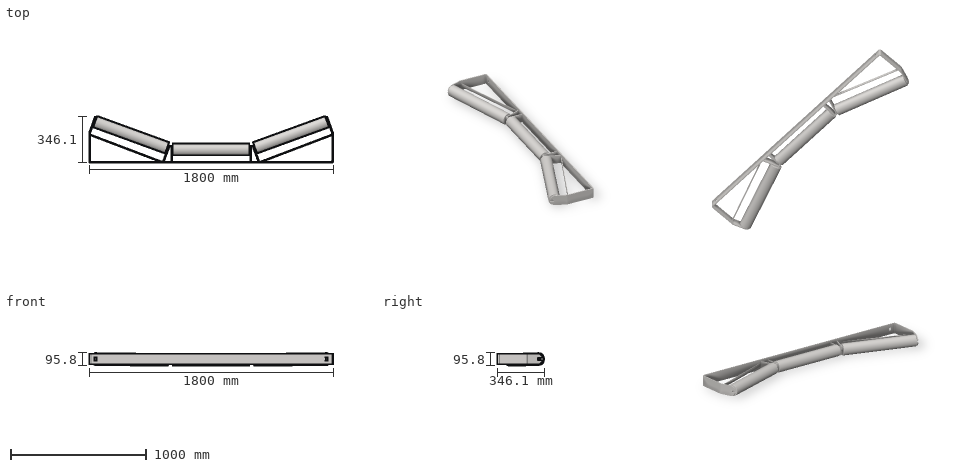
import cadquery as cq
import math


FRAME_LENGTH = 1800.0
BAR_WIDTH = 80.0
BAR_THICKNESS = 8.0
BEND_RADIUS = 14.0
TROUGH_ANGLE = 20.0
LEAN_BEND_Y = 218.0
LEAN_LENGTH = 126.0

MOUNT_X = 852.0
MOUNT_WIDTH = 16.0
MOUNT_LENGTH = 27.0

ROLLER_DIAMETER = 89.0
ROLLER_LENGTH = 566.0
ROLLER_EDGE = 2.0
ROLLER_GAP = 5.0
SHAFT_DIAMETER = 16.0
SLOT_WIDTH = 16.4
CENTER_ROLLER_Y = 100.0
WING_SHAFT_ALONG = 92.05
WING_RISE_ANGLE = 0.685

BRACKET_THICKNESS = 7.0
BRACKET_TOP_Y = 128.0

STRUT_THICKNESS = 5.0
STRUT_WIDTH = 25.0
STRUT_TOP_Y = 210.0
STRUT_FOOT_X = -360.0

SIN = math.sin(math.radians(TROUGH_ANGLE))
COS = math.cos(math.radians(TROUGH_ANGLE))
END_X = -FRAME_LENGTH / 2
MID_Z = BAR_WIDTH / 2
SPAN = ROLLER_LENGTH + 2 * ROLLER_GAP
INWARD = cq.Vector(COS, -SIN, 0)
LEAN = cq.Vector(SIN, COS, 0)
LEAN_START = cq.Vector(END_X + BEND_RADIUS * (1 - COS), LEAN_BEND_Y + BEND_RADIUS * SIN, 0)
OUTER_SLOT = LEAN_START + LEAN * WING_SHAFT_ALONG
WING_OUTER = OUTER_SLOT + INWARD * BAR_THICKNESS
WING_INNER = WING_OUTER + INWARD * SPAN
INNER_Z = MID_Z - SPAN * math.sin(math.radians(WING_RISE_ANGLE))
BRACKET_WIDTH = 2 * INNER_Z


def mirrored(body):
    return body.mirror("YZ")


def face_plane(point, z, along, normal):
    return cq.Plane(origin=(point.x, point.y, z), xDir=along.toTuple(), normal=normal.toTuple())


def open_slot(plane, depth):
    """Round-bottomed shaft slot that runs out along the plane's x direction."""
    channel = cq.Workplane(plane).rect(BAR_WIDTH, SLOT_WIDTH, centered=(False, True)).extrude(depth)
    bottom = cq.Workplane(plane).circle(SLOT_WIDTH / 2).extrude(depth)
    return channel.union(bottom)


def trough_block(offset):
    """Block with two rounded base corners, set in from the frame's outside by an offset."""
    return (
        cq.Workplane("XY")
        .center(0, offset)
        .rect(FRAME_LENGTH - 2 * offset, LEAN_BEND_Y - offset, centered=(True, False))
        .extrude(BAR_WIDTH)
        .edges("|Z and <Y")
        .fillet(BEND_RADIUS - offset)
    )


def bend_point(radius, angle):
    turn = math.radians(angle)
    center_x = END_X + BEND_RADIUS
    return (center_x - radius * math.cos(turn), LEAN_BEND_Y + radius * math.sin(turn))


def make_leaning_end():
    inner_radius = BEND_RADIUS - BAR_THICKNESS
    half_angle = TROUGH_ANGLE / 2
    tip = LEAN_START + LEAN * LEAN_LENGTH
    tip_inner = tip + INWARD * BAR_THICKNESS
    end = (
        cq.Workplane("XY")
        .moveTo(END_X, LEAN_BEND_Y)
        .threePointArc(bend_point(BEND_RADIUS, half_angle), bend_point(BEND_RADIUS, TROUGH_ANGLE))
        .lineTo(tip.x, tip.y)
        .lineTo(tip_inner.x, tip_inner.y)
        .lineTo(*bend_point(inner_radius, TROUGH_ANGLE))
        .threePointArc(bend_point(inner_radius, half_angle), bend_point(inner_radius, 0))
        .close()
        .extrude(BAR_WIDTH)
    )
    tip_radius = BAR_WIDTH / 2
    tip_plane = face_plane(tip - LEAN * tip_radius, MID_Z, LEAN, INWARD)
    tip_square = (
        cq.Workplane(tip_plane)
        .rect(tip_radius, BAR_WIDTH, centered=(False, True))
        .extrude(BAR_THICKNESS)
    )
    tip_disc = cq.Workplane(tip_plane).circle(tip_radius).extrude(BAR_THICKNESS)
    slot = open_slot(face_plane(OUTER_SLOT, MID_Z, LEAN, INWARD), BAR_THICKNESS)
    return end.cut(tip_square.cut(tip_disc)).cut(slot)


def make_frame():
    base = trough_block(0).cut(trough_block(BAR_THICKNESS))
    end = make_leaning_end()
    mount_holes = (
        cq.Workplane("XZ")
        .pushPoints([(-MOUNT_X, MID_Z), (MOUNT_X, MID_Z)])
        .slot2D(MOUNT_LENGTH, MOUNT_WIDTH, 90)
        .extrude(-BAR_THICKNESS)
    )
    return base.union(end).union(mirrored(end)).cut(mount_holes)


def cylinder_along_x(diameter, start, end):
    return cq.Workplane("YZ").workplane(offset=start).circle(diameter / 2).extrude(end - start)


def make_roller(left_support, right_support):
    """Roller along X, centered on the origin; each shaft end fills the thickness of its support."""
    tube = cylinder_along_x(ROLLER_DIAMETER, -ROLLER_LENGTH / 2, ROLLER_LENGTH / 2)
    tube = tube.edges("%CIRCLE").fillet(ROLLER_EDGE)
    shaft = cylinder_along_x(SHAFT_DIAMETER, -SPAN / 2 - left_support, SPAN / 2 + right_support)
    return tube.union(shaft)


def make_center_roller():
    roller = make_roller(BRACKET_THICKNESS, BRACKET_THICKNESS)
    return roller.translate((0, CENTER_ROLLER_Y, INNER_Z))


def make_wing_roller():
    middle = (WING_OUTER + WING_INNER) * 0.5
    return (
        make_roller(BAR_THICKNESS, BRACKET_THICKNESS)
        .rotate((0, 0, 0), (0, 1, 0), WING_RISE_ANGLE)
        .rotate((0, 0, 0), (0, 0, 1), -TROUGH_ANGLE)
        .translate((middle.x, middle.y, (MID_Z + INNER_Z) / 2))
    )


def make_bracket():
    """Two legs joined at the top: one leans against the wing roller, one faces the center roller."""
    leg_x = -SPAN / 2
    web_bottom_y = BRACKET_TOP_Y - BRACKET_THICKNESS
    lean_width = BRACKET_THICKNESS / COS

    def lean_x(y):
        return WING_INNER.x + (y - WING_INNER.y) * SIN / COS

    bracket = (
        cq.Workplane("XY")
        .moveTo(lean_x(BAR_THICKNESS), BAR_THICKNESS)
        .lineTo(lean_x(BRACKET_TOP_Y), BRACKET_TOP_Y)
        .lineTo(leg_x, BRACKET_TOP_Y)
        .lineTo(leg_x, BAR_THICKNESS)
        .lineTo(leg_x - BRACKET_THICKNESS, BAR_THICKNESS)
        .lineTo(leg_x - BRACKET_THICKNESS, web_bottom_y)
        .lineTo(lean_x(web_bottom_y) + lean_width, web_bottom_y)
        .lineTo(lean_x(BAR_THICKNESS) + lean_width, BAR_THICKNESS)
        .close()
        .extrude(BRACKET_WIDTH)
    )
    wing_slot = open_slot(face_plane(WING_INNER, INNER_Z, LEAN, INWARD), BRACKET_THICKNESS)
    center_shaft = cq.Vector(leg_x, CENTER_ROLLER_Y, 0)
    center_plane = face_plane(center_shaft, INNER_Z, cq.Vector(0, 1, 0), cq.Vector(-1, 0, 0))
    return bracket.cut(wing_slot).cut(open_slot(center_plane, BRACKET_THICKNESS))


def make_strut():
    wall_x = END_X + BAR_THICKNESS
    angle = math.atan2(STRUT_TOP_Y - BAR_THICKNESS, STRUT_FOOT_X - wall_x)
    return (
        cq.Workplane("XY")
        .workplane(offset=MID_Z - STRUT_WIDTH / 2)
        .moveTo(wall_x, STRUT_TOP_Y)
        .lineTo(STRUT_FOOT_X, BAR_THICKNESS)
        .lineTo(STRUT_FOOT_X - STRUT_THICKNESS / math.sin(angle), BAR_THICKNESS)
        .lineTo(wall_x, STRUT_TOP_Y - STRUT_THICKNESS / math.cos(angle))
        .close()
        .extrude(STRUT_WIDTH)
    )


frame = make_frame()
center_roller = make_center_roller()
wing_roller = make_wing_roller()
bracket = make_bracket()
strut = make_strut()

solids = [*frame.solids().vals(), *center_roller.solids().vals()]
for left_body in (wing_roller, bracket, strut):
    for body in (left_body, mirrored(left_body)):
        solids += body.solids().vals()

result = cq.Compound.makeCompound(solids)